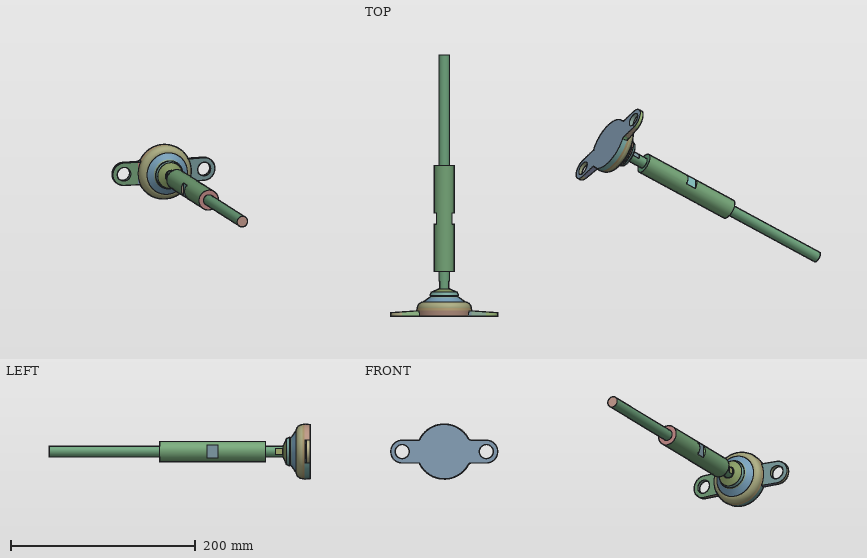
import cadquery as cq
import math

TOTAL_LENGTH = 283.0

FOOT_WIDTH = 116.0
PAD_RADIUS = 29.5
RIM_RADIUS = 60.0 / 2
RIM_Y = 6.0
DOME_WALL_RADIUS = 29.5
DOME_WALL_Y = 8.5
SHOULDER_RADIUS = 23.0
SHOULDER_Y = 15.5
SHOULDER_BULGE_RADIUS = 27.7
SHOULDER_BULGE_Y = 13.0
NECK_RADIUS = 16.5
NECK_Y = 20.0
EAR_RADIUS = 12.5
EAR_TIP_THICKNESS = 4.0
EAR_HOLE_DIAMETER = 15.0
EAR_BLEND_RADIUS = 5.0

GROOVE_RADIUS = 14.7
GROOVE_Y = 21.5
COLLAR_LIP_RADIUS = 15.5
COLLAR_LIP_Y = 22.5
COLLAR_EDGE_RADIUS = 14.2
COLLAR_EDGE_Y = 26.0
COLLAR_TOP_RADIUS = 6.5
COLLAR_TOP_Y = 29.5
ROD_DIAMETER = 12.0
ROD_FLAT_WIDTH = 10.0
ROD_FLAT_START_Y = 30.0
ROD_FLAT_LENGTH = 8.0

SLEEVE_DIAMETER = 22.0
SLEEVE_START_Y = 48.5
SLEEVE_LENGTH = 115.0
SLEEVE_FLAT_WIDTH = 17.0
SLEEVE_FLAT_LENGTH = 12.0
SLEEVE_FLAT_START_Y = SLEEVE_START_Y + (SLEEVE_LENGTH - SLEEVE_FLAT_LENGTH) / 2

EAR_CENTRE_X = FOOT_WIDTH / 2 - EAR_RADIUS


def cylinder(diameter, start_y, length):
    """Cylinder on the Y axis."""
    return cq.Workplane("XZ", origin=(0, start_y, 0)).circle(diameter / 2).extrude(-length)


def turned(outline):
    """Turn an outline drawn in (radius, Y) about the Y axis."""
    return outline.close().revolve(360, (0, 0, 0), (0, 1, 0))


def cut_flats(body, diameter, width, start_y, length):
    """Cut two opposite flats, facing +X and -X, into a round body."""
    depth = (diameter - width) / 2
    for side in (-1, 1):
        cutter = cq.Workplane("XY").box(depth, length, diameter).translate(
            (side * (width + depth) / 2, start_y + length / 2, 0)
        )
        body = body.cut(cutter)
    return body


def make_ears():
    """Two ears in one bar whose thickness falls from the rim to the tips."""
    half_width = FOOT_WIDTH / 2
    bar = (
        cq.Workplane("XZ")
        .slot2D(FOOT_WIDTH, 2 * EAR_RADIUS)
        .extrude(-RIM_Y)
    )
    blend_x = math.sqrt((PAD_RADIUS + EAR_BLEND_RADIUS) ** 2 - (EAR_RADIUS + EAR_BLEND_RADIUS) ** 2)
    touch = PAD_RADIUS / (PAD_RADIUS + EAR_BLEND_RADIUS)
    for side in (-1, 1):
        blend_z = side * (EAR_RADIUS + EAR_BLEND_RADIUS)
        blend = (
            cq.Workplane("XZ")
            .moveTo(0, 0)
            .lineTo(blend_x, 0)
            .lineTo(blend_x, blend_z)
            .lineTo(blend_x * touch, blend_z * touch)
            .close()
            .extrude(-RIM_Y)
            .cut(
                cq.Workplane("XZ")
                .center(blend_x, blend_z)
                .circle(EAR_BLEND_RADIUS)
                .extrude(-RIM_Y)
            )
        )
        bar = bar.union(blend)
    wedge = (
        cq.Workplane("XY")
        .moveTo(-half_width, 0)
        .lineTo(half_width, 0)
        .lineTo(half_width, EAR_TIP_THICKNESS)
        .lineTo(RIM_RADIUS, RIM_Y)
        .lineTo(-RIM_RADIUS, RIM_Y)
        .lineTo(-half_width, EAR_TIP_THICKNESS)
        .close()
        .extrude(RIM_RADIUS, both=True)
    )
    return bar.intersect(wedge)


def make_base():
    """Pad, rim, dome and collar turned in one profile, from the floor up, plus the ears."""
    turned_profile = turned(
        cq.Workplane("XY")
        .moveTo(0, 0)
        .lineTo(PAD_RADIUS, 0)
        .lineTo(RIM_RADIUS, RIM_Y)
        .lineTo(DOME_WALL_RADIUS, DOME_WALL_Y)
        .threePointArc((SHOULDER_BULGE_RADIUS, SHOULDER_BULGE_Y), (SHOULDER_RADIUS, SHOULDER_Y))
        .lineTo(NECK_RADIUS, NECK_Y)
        .lineTo(GROOVE_RADIUS, GROOVE_Y)
        .lineTo(COLLAR_LIP_RADIUS, COLLAR_LIP_Y)
        .lineTo(COLLAR_EDGE_RADIUS, COLLAR_EDGE_Y)
        .lineTo(COLLAR_TOP_RADIUS, COLLAR_TOP_Y)
        .lineTo(0, COLLAR_TOP_Y)
    )
    holes = (
        cq.Workplane("XZ")
        .pushPoints([(-EAR_CENTRE_X, 0), (EAR_CENTRE_X, 0)])
        .circle(EAR_HOLE_DIAMETER / 2)
        .extrude(-RIM_Y)
    )
    return turned_profile.union(make_ears()).cut(holes)


def make_foot():
    """Base with the rod that runs through the sleeve to the far end."""
    rod = cylinder(ROD_DIAMETER, COLLAR_TOP_Y, TOTAL_LENGTH - COLLAR_TOP_Y)
    rod = cut_flats(rod, ROD_DIAMETER, ROD_FLAT_WIDTH, ROD_FLAT_START_Y, ROD_FLAT_LENGTH)
    return make_base().union(rod)


def make_sleeve():
    """Tube whose bore fits the rod."""
    sleeve = cylinder(SLEEVE_DIAMETER, SLEEVE_START_Y, SLEEVE_LENGTH)
    bore = cylinder(ROD_DIAMETER, SLEEVE_START_Y, SLEEVE_LENGTH)
    return cut_flats(
        sleeve.cut(bore), SLEEVE_DIAMETER, SLEEVE_FLAT_WIDTH, SLEEVE_FLAT_START_Y, SLEEVE_FLAT_LENGTH
    )


foot = make_foot()
sleeve = make_sleeve()

result = cq.Compound.makeCompound([foot.val(), sleeve.val()])